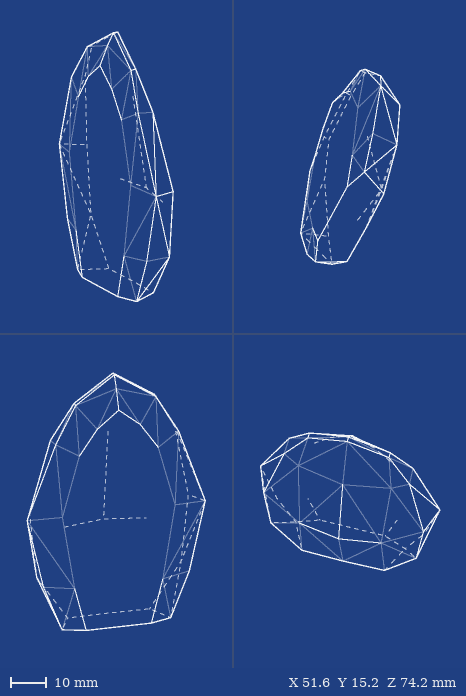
import cadquery as cq


front_base = (9.4, 0, 0)
front_low = (12.8, 0, 13.0)
front_side = (16.3, 0, 34.9)
front_shoulder = (11.4, 0, 52.8)
front_high = (6.2, 0, 60.25)
front_top = (0, 0, 65.3)

rim_base = (15.7, 2.3, 0)
rim_low = (21.15, 2.3, 13.5)
rim_side = (25.8, 2.5, 34.0)
rim_shoulder = (17.8, 1.55, 56.3)
rim_high = (11.65, 3.0, 66.9)
rim_tip = (0, 4.4, 74.2)
brow = (0, 2.45, 70.8)

back_center = (0, 10.4, 0)
back_base = (11.9, 10.2, 0)
back_low = (20.9, 9.9, 13.35)
back_side = (23.0, 9.8, 33.25)
back_shoulder = (18.0, 6.2, 55.8)
back_high = (11.65, 4.5, 66.95)
back_tip = (0, 5.8, 74.2)

peak = (0, 15.15, 26.5)
peak_side = (11.7, 13.2, 26.2)
ridge = (0, 10.7, 54.7)
ridge_side = (13.35, 8.5, 55.3)

front_bevel = [
    (front_base, rim_base, front_low),
    (rim_base, rim_low, front_low),
    (rim_low, rim_side, front_low),
    (front_low, rim_side, front_side),
    (rim_side, rim_shoulder, front_side),
    (front_side, rim_shoulder, front_shoulder),
    (rim_shoulder, rim_high, front_shoulder),
    (front_shoulder, rim_high, front_high),
    (front_high, rim_high, brow),
    (front_high, brow, front_top),
    (rim_high, rim_tip, brow),
]
rim = [
    (rim_base, back_base, back_low),
    (rim_base, back_low, rim_low),
    (rim_low, back_low, rim_side),
    (rim_side, back_low, back_side),
    (rim_side, back_side, back_shoulder),
    (rim_side, back_shoulder, rim_shoulder),
    (rim_shoulder, back_shoulder, back_high),
    (rim_shoulder, back_high, rim_high),
    (rim_high, back_high, rim_tip),
    (rim_tip, back_high, back_tip),
]
back = [
    (back_base, back_center, peak_side),
    (back_center, peak, peak_side),
    (back_base, peak_side, back_low),
    (back_low, peak_side, back_side),
    (peak_side, peak, ridge),
    (peak_side, ridge, ridge_side),
    (peak_side, ridge_side, back_side),
    (back_side, ridge_side, back_shoulder),
    (back_shoulder, ridge_side, back_high),
    (back_high, ridge_side, back_tip),
    (ridge_side, ridge, back_tip),
]


def mirrored(point):
    x, y, z = point
    return (-x, y, z)


def flat_face(points):
    """Planar face bounded by the closed polygon through the points."""
    vectors = [cq.Vector(*point) for point in points]
    return cq.Face.makeFromWires(cq.Wire.makePolygon(vectors, close=True))


def symmetric_face(right_points):
    """Planar face spanning both halves; points on X = 0 are used only once."""
    left_points = [mirrored(point) for point in reversed(right_points) if point[0] > 0]
    return flat_face(list(right_points) + left_points)


faces = []
for facet in front_bevel + rim + back:
    faces.append(flat_face(facet))
    faces.append(flat_face([mirrored(point) for point in reversed(facet)]))

front_outline = [front_base, front_low, front_side, front_shoulder, front_high, front_top]
faces.append(symmetric_face(front_outline))
faces.append(symmetric_face([back_center, back_base, rim_base, front_base]))

result = cq.Workplane(cq.Solid.makeSolid(cq.Shell.makeShell(faces)).fix())